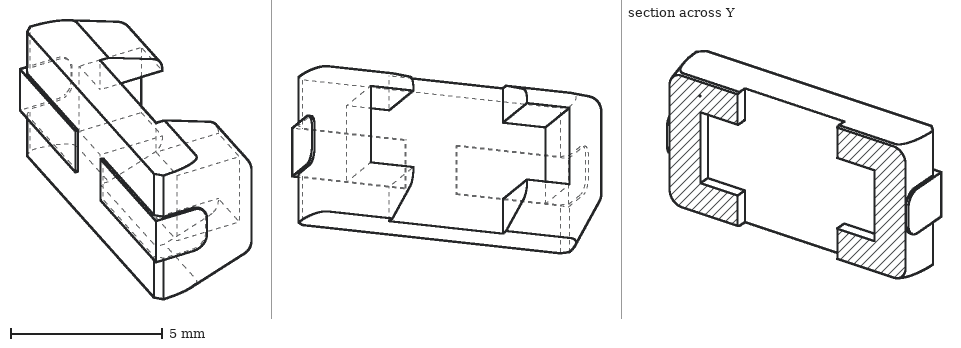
import cadquery as cq
import math

length = 9.73
depth = 3.81
height = 5.03

terminal_thickness = 0.1
body_length = length - 2 * terminal_thickness
body_depth = depth - terminal_thickness
shoulder_depth = 1.71
slope_angle = 20.0
edge_radius = 0.51
front_chamfer = 0.23

notch_width = 4.0
notch_floor = 1.4

slot_width = 7.0
slot_height = 2.65

terminal_height = 1.67
terminal_front_length = 3.97
terminal_side_depth = 1.9
terminal_corner_radius = 0.5


def make_chamfered_block():
    """Full-height body block with its two vertical front edges chamfered."""
    return (
        cq.Workplane("XY")
        .box(body_length, body_depth, height, centered=(True, False, True))
        .edges("|Z and <Y")
        .chamfer(front_chamfer)
    )


def make_body():
    """Tapered block with rounded back and end edges, trimmed flat above and below."""
    slope = math.tan(math.radians(slope_angle))
    front_half = height / 2 + shoulder_depth * slope
    back_half = front_half - body_depth * slope
    taper = (
        cq.Workplane("YZ")
        .polyline([(0, -front_half), (body_depth, -back_half), (body_depth, back_half), (0, front_half)])
        .close()
        .extrude(body_length / 2, both=True)
    )
    taper = taper.edges("not(<Y)").fillet(edge_radius)
    return taper.intersect(make_chamfered_block())


def make_back_cut(width, cut_height):
    """Block centred in X and Z that cuts from the notch floor out through the back."""
    return (
        cq.Workplane("XY")
        .box(width, body_depth - notch_floor, cut_height, centered=(True, False, True))
        .translate((0, notch_floor, 0))
    )


def make_terminal():
    """Terminal at the -X end, filling the space in front of the body's corner chamfer."""
    block = (
        cq.Workplane("XY")
        .box(terminal_front_length, terminal_side_depth, terminal_height, centered=(False, False, True))
        .edges("|X and >Y")
        .fillet(terminal_corner_radius)
        .translate((-length / 2, -terminal_thickness, 0))
    )
    return block.cut(make_chamfered_block())


terminal = make_terminal()
notch = make_back_cut(notch_width, height)
slot = make_back_cut(slot_width, slot_height)
body = make_body().cut(notch).cut(slot)
result = body.union(terminal).union(terminal.mirror("YZ"))